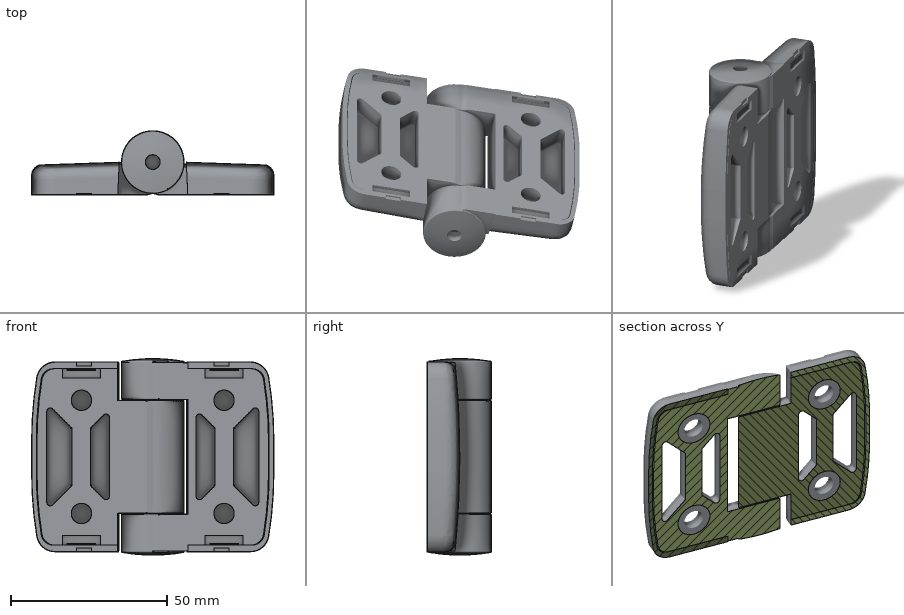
import cadquery as cq
import math


KNUCKLE_R = 10.0
KNUCKLE_ROUND = 0.4
MID_HALF = 18.05
KNUCKLE_GAP = 0.25
DOME_BASE_Z = 30.6
DOME_TOP_Z = 31.38
DOME_HOLE_R = 2.35
DOME_HOLE_DEPTH = 2.0
PIN_R = 3.0
PIN_END_DEPTH = 5.0

MOUNT_Y = -10.5
TOE_X = 1.8
TOE_LENGTH = 5.0
WEB_START_X = 4.0

COVER_SIDE_X = 38.75
COVER_TOP_Z = 30.35
SIDE_FLAT_HALF = 5.1
SIDE_R = 125.0
COVER_CORNER_R = 6.0
SIDE_WALL = 1.5
CAVITY_TOP_Z = 28.2
CAVITY_CORNER_R = 4.0
LEAF_SIDE_CLEARANCE = 0.25

END_X_BASE = 11.2
END_X_AXIS = 10.72

CROWN_R = 290.0
CROWN_INNER_Y = -0.05
CROWN_OUTER_Y = -0.95
COVER_ROUND = 3.5
PLATE_BACK_Y = -3.5

OUTER_WEB_TOP_Z = 30.1

SCREW_X = 22.8
SCREW_Z = 18.1
SCREW_R = 3.25
SCREW_SEAT = 3.7
SCREW_HEAD_R = 5.5

POCKET_DEPTH = 6.0
POCKET_ROUND = 0.6
POCKET_TIP_R = 1.1
POCKET_SHORT_Z = 9.2
WIDE_POCKET_X = (25.9, 33.9)
NARROW_POCKET_X = (19.9, 13.85)

SNAP_X = 22.8
SNAP_POCKET_W = 12.2
SNAP_POCKET_H = 3.0
SNAP_POCKET_DEPTH = 1.0
HOOK_W = 9.1
HOOK_REACH = 0.5
HOOK_TIP = 0.1
HOOK_BEVEL = 0.2
HOOK_END_TAPER = 0.35
NOTCH_X = 22.05
NOTCH_W = 4.8
NOTCH_H = 1.25
NOTCH_DEPTH = 0.5

FAR = 60.0


def box(x0, x1, y0, y1, z0, z1):
    """Axis-aligned block between two corners."""
    return cq.Workplane("XY").box(x1 - x0, y1 - y0, z1 - z0, centered=False).translate((x0, y0, z0))


def extrude_y(sketch, y0, y1):
    """Extrude a closed XZ outline from y0 to y1."""
    return sketch.extrude(-(y1 - y0)).translate((0, y0, 0))


def both_ends(body):
    """The body together with its mirror image across the mid plane."""
    return body.union(body.mirror("XY"))


def flap_outline(side_x, top_z, side_r, corner_r):
    """Outline of a flap on the +X side: bowed outer side, rounded corners, open towards the axis."""
    bow_x = side_x - side_r
    corner_z = top_z - corner_r
    corner_x = bow_x + math.sqrt((side_r - corner_r) ** 2 - (corner_z - SIDE_FLAT_HALF) ** 2)
    bow_end = math.atan2(corner_z - SIDE_FLAT_HALF, corner_x - bow_x)

    def bow(angle):
        return bow_x + side_r * math.cos(angle), SIDE_FLAT_HALF + side_r * math.sin(angle)

    def corner(angle):
        return corner_x + corner_r * math.cos(angle), corner_z + corner_r * math.sin(angle)

    def below(point):
        return point[0], -point[1]

    bow_mid = bow(bow_end / 2)
    corner_mid = corner((bow_end + math.pi / 2) / 2)
    return (
        cq.Workplane("XZ")
        .moveTo(0, -top_z)
        .lineTo(corner_x, -top_z)
        .threePointArc(below(corner_mid), below(bow(bow_end)))
        .threePointArc(below(bow_mid), (side_x, -SIDE_FLAT_HALF))
        .lineTo(side_x, SIDE_FLAT_HALF)
        .threePointArc(bow_mid, bow(bow_end))
        .threePointArc(corner_mid, (corner_x, top_z))
        .lineTo(0, top_z)
        .close()
    )


def beyond_end_face():
    """Everything on the outer side of the slanted end face."""
    lean = (END_X_BASE - END_X_AXIS) / MOUNT_Y
    return (
        cq.Workplane("XY")
        .polyline([(END_X_AXIS - lean * FAR, -FAR), (FAR, -FAR), (FAR, FAR), (END_X_AXIS + lean * FAR, FAR)])
        .close()
        .extrude(FAR, both=True)
    )


def under_crown():
    """Large cylinder, lying across the hinge axis, whose crest is the crowned outer surface."""
    slope = math.atan2(CROWN_INNER_Y - CROWN_OUTER_Y, COVER_SIDE_X - END_X_AXIS)
    return (
        cq.Workplane("YZ")
        .circle(CROWN_R)
        .extrude(FAR, both=True)
        .translate((0, -CROWN_R, 0))
        .rotate((0, 0, 0), (0, 0, 1), -math.degrees(slope))
        .translate((END_X_AXIS, CROWN_INNER_Y, 0))
    )


def leaf_plate():
    side_inset = SIDE_WALL + LEAF_SIDE_CLEARANCE
    outline = flap_outline(COVER_SIDE_X - side_inset, CAVITY_TOP_Z, SIDE_R - side_inset, CAVITY_CORNER_R)
    return extrude_y(outline, MOUNT_Y, PLATE_BACK_Y).intersect(beyond_end_face())


def web(z0, z1):
    """Solid link from the knuckle to the slanted end face."""
    block = box(WEB_START_X, FAR, MOUNT_Y, KNUCKLE_R, z0, z1)
    return block.intersect(under_crown()).cut(beyond_end_face())


def knuckle(z0, z1):
    """Round barrel with a toe sloping down to the mounting face, rounded at both ends."""
    length = z1 - z0
    slope = (-KNUCKLE_R - MOUNT_Y) / TOE_X
    toe = (
        cq.Workplane("XY")
        .polyline([(0, 0), (0, -KNUCKLE_R), (TOE_LENGTH, -KNUCKLE_R - TOE_LENGTH * slope), (TOE_LENGTH, 0)])
        .close()
        .extrude(length)
    )
    barrel = cq.Workplane("XY").circle(KNUCKLE_R).extrude(length).union(toe)
    barrel = barrel.faces("<Z or >Z").edges().fillet(KNUCKLE_ROUND).translate((0, 0, z0))
    return barrel.cut(box(-FAR, FAR, -FAR, MOUNT_Y, -FAR, FAR))


def dome():
    """Shallow spherical cap on an outer knuckle."""
    rim = KNUCKLE_R - KNUCKLE_ROUND
    height = DOME_TOP_Z - DOME_BASE_Z
    centre_z = (rim ** 2 - DOME_HOLE_R ** 2 - height ** 2) / (2 * height)
    dome_r = math.hypot(rim, centre_z)
    sphere = cq.Workplane("XY").sphere(dome_r).translate((0, 0, DOME_BASE_Z - centre_z))
    core = cq.Workplane("XY").circle(rim).extrude(DOME_TOP_Z)
    return sphere.intersect(core.cut(rod(rim, DOME_BASE_Z - DOME_HOLE_DEPTH)))


def rod(radius, half_length):
    """Cylinder on the hinge axis, centred on the mid plane."""
    return cq.Workplane("XY").circle(radius).extrude(half_length, both=True)


def screw_holes():
    centres = [(SCREW_X, SCREW_Z), (SCREW_X, -SCREW_Z)]
    shank = cq.Workplane("XZ").pushPoints(centres).circle(SCREW_R)
    head = cq.Workplane("XZ").pushPoints(centres).circle(SCREW_HEAD_R)
    seat_y = MOUNT_Y + SCREW_SEAT
    return extrude_y(shank, MOUNT_Y, seat_y).union(extrude_y(head, seat_y, PLATE_BACK_Y))


def pocket(short_x, long_x, tip_round):
    """Trapezoid recess: 45 degree ends, one short and one long upright side, rounded floor edge."""
    long_z = POCKET_SHORT_Z + abs(long_x - short_x)
    outline = (
        cq.Workplane("XZ")
        .polyline([(short_x, -POCKET_SHORT_Z),
                   (short_x, POCKET_SHORT_Z),
                   (long_x, long_z),
                   (long_x, -long_z)])
        .close()
    )
    recess = extrude_y(outline, MOUNT_Y, MOUNT_Y + POCKET_DEPTH)
    long_side = ">X" if long_x > short_x else "<X"
    recess = recess.faces(long_side).edges("|Y").fillet(tip_round)
    return recess.faces(">Y").edges().fillet(POCKET_ROUND)


def snap_pockets():
    half = SNAP_POCKET_W / 2
    return both_ends(box(SNAP_X - half, SNAP_X + half, MOUNT_Y, MOUNT_Y + SNAP_POCKET_DEPTH,
                         CAVITY_TOP_Z - SNAP_POCKET_H, CAVITY_TOP_Z))


def snap_hooks():
    """Ramped ribs on the cover wall that catch in the snap pockets."""
    floor_y = MOUNT_Y + SNAP_POCKET_DEPTH
    tip_z = CAVITY_TOP_Z - HOOK_REACH
    ramp = (
        cq.Workplane("YZ")
        .polyline([(MOUNT_Y, CAVITY_TOP_Z),
                   (floor_y, CAVITY_TOP_Z),
                   (floor_y, tip_z),
                   (floor_y - HOOK_TIP, tip_z),
                   (floor_y - HOOK_TIP - HOOK_BEVEL, tip_z + HOOK_BEVEL)])
        .close()
        .extrude(FAR)
    )
    wide = HOOK_W / 2
    narrow = wide - HOOK_END_TAPER
    tapered_ends = (
        cq.Workplane("XY")
        .polyline([(SNAP_X - narrow, MOUNT_Y),
                   (SNAP_X + narrow, MOUNT_Y),
                   (SNAP_X + wide, floor_y),
                   (SNAP_X - wide, floor_y)])
        .close()
        .extrude(FAR)
    )
    return both_ends(ramp.intersect(tapered_ends))


def edge_notches():
    half = NOTCH_W / 2
    return both_ends(box(NOTCH_X - half, NOTCH_X + half, MOUNT_Y, MOUNT_Y + NOTCH_DEPTH,
                         COVER_TOP_Z - NOTCH_H, COVER_TOP_Z))


def make_leaf(hinge_side):
    """Plate with all its recesses, joined to the given webs and knuckles."""
    leaf = leaf_plate().union(hinge_side)
    leaf = leaf.cut(screw_holes())
    leaf = leaf.cut(pocket(*WIDE_POCKET_X, POCKET_TIP_R))
    leaf = leaf.cut(pocket(*NARROW_POCKET_X, POCKET_TIP_R))
    return leaf.cut(snap_pockets()).cut(rod(PIN_R, DOME_TOP_Z - DOME_HOLE_DEPTH))


def make_middle_leaf():
    return make_leaf(web(-MID_HALF, MID_HALF).union(knuckle(-MID_HALF, MID_HALF)))


def make_outer_leaf():
    """Leaf with a domed knuckle at each end; toe and web stop short of the dome."""
    start = MID_HALF + KNUCKLE_GAP
    toe_trim = box(-FAR, FAR, -FAR, FAR, OUTER_WEB_TOP_Z, FAR).cut(rod(KNUCKLE_R, FAR))
    barrel = knuckle(start, DOME_BASE_Z).cut(toe_trim)
    end = web(start, OUTER_WEB_TOP_Z).union(barrel).union(dome())
    return make_leaf(both_ends(end)).cut(rod(DOME_HOLE_R, FAR))


def make_cover():
    """Rounded, crowned shell that wraps the leaf plate on the +X side."""
    outline = flap_outline(COVER_SIDE_X, COVER_TOP_Z, SIDE_R, COVER_CORNER_R)
    shell = extrude_y(outline, MOUNT_Y, KNUCKLE_R).intersect(under_crown())
    shell = shell.faces(">Y").edges("not(<X)").fillet(COVER_ROUND)
    cavity = flap_outline(COVER_SIDE_X - SIDE_WALL, CAVITY_TOP_Z, SIDE_R - SIDE_WALL, CAVITY_CORNER_R)
    shell = shell.cut(extrude_y(cavity, MOUNT_Y, PLATE_BACK_Y)).intersect(beyond_end_face())
    return shell.cut(edge_notches()).union(snap_hooks())


outer_leaf = make_outer_leaf()
middle_leaf = make_middle_leaf().mirror("YZ")
right_cover = make_cover()
left_cover = right_cover.mirror("YZ")
pin = rod(PIN_R, DOME_TOP_Z - PIN_END_DEPTH)

result = cq.Compound.makeCompound(
    [outer_leaf.val(), middle_leaf.val(), right_cover.val(), left_cover.val(), pin.val()]
)